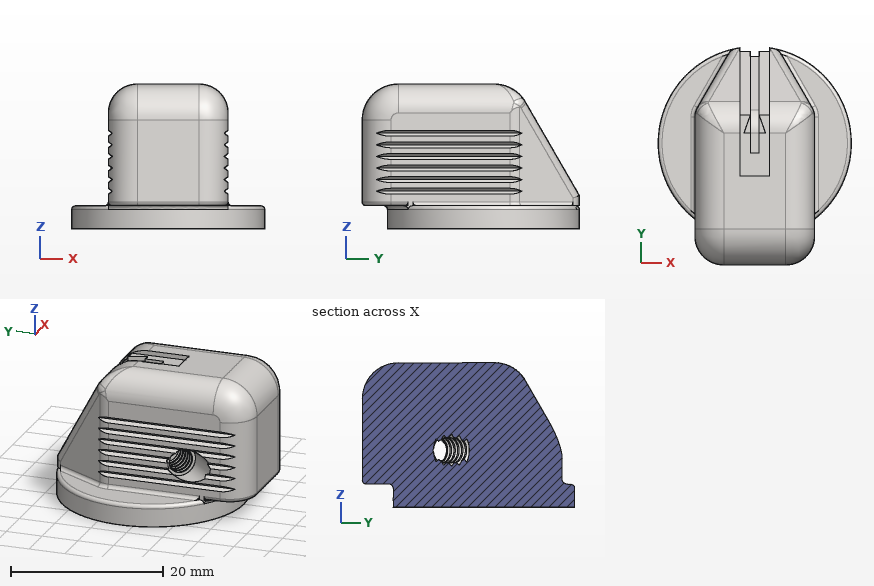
import cadquery as cq
import math

DISC_RADIUS = 12.7
DISC_HEIGHT = 3.048
BLEND_RADIUS = 0.508

TOTAL_HEIGHT = 19.05
TOTAL_LENGTH = 28.56
HALF_WIDTH = 7.874
SIDE_ROUND = 3.81
END_ROUND = 4.7625

NOSE_ANGLE = 60.0
NOSE_FOOT_HEIGHT = 4.13
TAPER_ANGLE = 30.0
TAPER_START_Y = 4.1
TAPER_BLEND = 2.54
NOSE_EDGE_ROUND = 1.5875

STEP_DEPTH = 0.635
RECESS_WIDTH = 3.9
RECESS_END_Y = -4.3
LINE_WIDTH = 1.143
LINE_END_Y = -1.27
ARROW_BASE_Y = 1.32
ARROW_HALF_WIDTH = 1.42
ARROW_LENGTH = 4.04

GROOVE_COUNT = 6
GROOVE_PITCH = 1.524
GROOVE_FIRST_Z = 4.953
GROOVE_DEPTH = 0.508
GROOVE_HALF_ANGLE = 37.5

SCREW_Z = 7.5
SCREW_ANGLE = 45.0
CLEARANCE_DIAMETER = 4.2
THREAD_MAJOR = 4.11
THREAD_MINOR = 3.33
THREAD_PITCH = 0.7056
THREAD_TURNS = 6
THREAD_FLANK_ANGLE = 30.0
THREAD_LEAD_IN = 0.24
THREAD_START = 8.63

RECESS_EDGE_Y = math.sqrt(DISC_RADIUS**2 - (RECESS_WIDTH / 2)**2)
REAR_Y = RECESS_EDGE_Y - TOTAL_LENGTH
SLOPE_RUN = (TOTAL_HEIGHT - NOSE_FOOT_HEIGHT) / math.tan(math.radians(NOSE_ANGLE))
NOSE_CORNER_Y = DISC_RADIUS - SLOPE_RUN
BODY_HEIGHT = TOTAL_HEIGHT - DISC_HEIGHT
GROOVE_MOUTH = GROOVE_DEPTH * math.tan(math.radians(GROOVE_HALF_ANGLE))
NOSE_TIP_Y = TAPER_START_Y + HALF_WIDTH / math.tan(math.radians(TAPER_ANGLE))
FLAT_TOLERANCE = 0.05
FLAT_REACH = DISC_RADIUS - BLEND_RADIUS


def cylinder(radius, bottom_z, top_z):
    """Upright cylinder on the disc axis."""
    return cq.Workplane("XY", origin=(0, 0, bottom_z)).circle(radius).extrude(top_z - bottom_z)


def knob_profile(depth, rear_y, half_width, corner_round):
    """Bar along X with the knob's side outline, set in by depth from its top, slope and front."""
    slope = math.tan(math.radians(NOSE_ANGLE))
    front_y = DISC_RADIUS - depth
    top_z = TOTAL_HEIGHT - depth
    corner_y = NOSE_CORNER_Y - depth * math.tan(math.radians(NOSE_ANGLE / 2))
    bar = (
        cq.Workplane("YZ")
        .moveTo(rear_y, 0)
        .lineTo(front_y, 0)
        .lineTo(front_y, top_z - (front_y - corner_y) * slope)
        .lineTo(corner_y, top_z)
        .lineTo(rear_y, top_z)
        .close()
        .extrude(half_width, both=True)
    )
    if corner_round > 0:
        corner = cq.selectors.NearestToPointSelector((0, corner_y, top_z))
        bar = bar.edges(corner).fillet(corner_round)
    return bar


def footprint(height):
    """Prism with the body's plan outline: straight sides and a tapering nose."""
    return (
        cq.Workplane("XY", origin=(0, 0, DISC_HEIGHT))
        .moveTo(-HALF_WIDTH, REAR_Y)
        .lineTo(HALF_WIDTH, REAR_Y)
        .lineTo(HALF_WIDTH, TAPER_START_Y)
        .lineTo(0, NOSE_TIP_Y)
        .lineTo(-HALF_WIDTH, TAPER_START_Y)
        .close()
        .extrude(height)
    )


def blended_footprint(height):
    """The footprint with its sides blended into the nose walls."""
    corners = cq.selectors.BoxSelector(
        (-2 * HALF_WIDTH, TAPER_START_Y - BLEND_RADIUS, 0),
        (2 * HALF_WIDTH, TAPER_START_Y + BLEND_RADIUS, TOTAL_HEIGHT),
    )
    return footprint(height).edges("|Z").edges(corners).fillet(TAPER_BLEND)


def is_nose_edge(edge):
    """True for the edges beside the slope and its round and for the upright nose edges."""
    box = edge.BoundingBox()
    is_level = box.zmax - box.zmin < FLAT_TOLERANCE
    is_slope_foot = box.ymax > DISC_RADIUS - FLAT_TOLERANCE
    return box.ymax > 0 and not is_level and not is_slope_foot


def make_body():
    """Rounded block, cut to the sloping and tapering nose.

    The nose edge round also runs down the upright corners where the taper starts. The larger
    taper blend then takes its place there.
    """
    block = (
        cq.Workplane("XY", origin=(0, REAR_Y, DISC_HEIGHT))
        .box(2 * HALF_WIDTH, NOSE_TIP_Y - REAR_Y, BODY_HEIGHT, centered=(True, False, False))
        .edges(">Z and <Y")
        .fillet(END_ROUND)
        .edges("(<Y and |Z) or (>Z and |Y)")
        .fillet(SIDE_ROUND)
    )
    profile = knob_profile(0, REAR_Y - SIDE_ROUND, DISC_RADIUS, END_ROUND)
    front = cylinder(DISC_RADIUS, 0, TOTAL_HEIGHT)
    rear = cq.Workplane("XY").box(2 * DISC_RADIUS, -2 * REAR_Y, 2 * TOTAL_HEIGHT)
    rear = rear.translate((0, REAR_Y, 0))
    body = block.intersect(footprint(BODY_HEIGHT)).intersect(profile).intersect(front.union(rear))
    nose_edges = [edge for edge in body.edges().vals() if is_nose_edge(edge)]
    body = cq.Workplane(body.val().fillet(NOSE_EDGE_ROUND, nose_edges))
    return body.intersect(blended_footprint(BODY_HEIGHT))


def round_overhang(body):
    """Round the bottom edges of the body where it overhangs the disc."""
    overhang = body.cut(cylinder(DISC_RADIUS, 0, TOTAL_HEIGHT))
    rim = cq.selectors.BoxSelector(
        (-2 * HALF_WIDTH, 2 * REAR_Y, 0),
        (2 * HALF_WIDTH, 0, DISC_HEIGHT + BLEND_RADIUS / 2),
    )
    rounded = body.faces("<Z").edges(rim).fillet(BLEND_RADIUS)
    return body.cut(overhang).union(rounded)


def foot_blend():
    """Concave blend from the flat top of the disc up to the body walls."""
    slab = cylinder(2 * DISC_RADIUS, 0, DISC_HEIGHT)
    blended = (
        slab.union(blended_footprint(BODY_HEIGHT))
        .edges(cq.selectors.BoxSelector(
            (-2 * HALF_WIDTH, REAR_Y - BLEND_RADIUS, DISC_HEIGHT - BLEND_RADIUS / 2),
            (2 * HALF_WIDTH, NOSE_TIP_Y + BLEND_RADIUS, DISC_HEIGHT + BLEND_RADIUS / 2),
        ))
        .fillet(BLEND_RADIUS)
    )
    return blended.intersect(cylinder(FLAT_REACH, DISC_HEIGHT - BLEND_RADIUS, DISC_HEIGHT + BLEND_RADIUS))


def overhang_blend():
    """Concave blend from the side of the disc out to the bottom of the overhang."""
    low_z = DISC_HEIGHT - BLEND_RADIUS
    outer_radius = DISC_RADIUS + BLEND_RADIUS
    middle = BLEND_RADIUS * (1 - math.sqrt(0.5))
    flare = (
        cq.Workplane("XZ")
        .moveTo(0, low_z)
        .lineTo(DISC_RADIUS, low_z)
        .threePointArc((DISC_RADIUS + middle, DISC_HEIGHT - middle), (outer_radius, DISC_HEIGHT))
        .lineTo(0, DISC_HEIGHT)
        .close()
        .revolve(360, (0, 0, 0), (0, 1, 0))
    )
    below_body = (
        cq.Workplane("XY", origin=(0, REAR_Y, 0))
        .box(2 * HALF_WIDTH, -REAR_Y, DISC_HEIGHT, centered=(True, False, False))
    )
    return flare.intersect(below_body)


def join_to_disc(body):
    """Add the disc with its rounded rim and the blends between disc and body."""
    disc = cylinder(DISC_RADIUS, 0, DISC_HEIGHT).faces(">Z").edges().fillet(BLEND_RADIUS)
    return disc.union(round_overhang(body)).union(foot_blend()).union(overhang_blend())


def cut_grooves(part):
    """V grooves along both sides."""
    for index in range(GROOVE_COUNT):
        z = GROOVE_FIRST_Z + index * GROOVE_PITCH
        for side in (-1, 1):
            groove = (
                cq.Workplane("XZ", origin=(0, DISC_RADIUS, z))
                .moveTo(side * (HALF_WIDTH - GROOVE_DEPTH), 0)
                .lineTo(side * (HALF_WIDTH + GROOVE_DEPTH), 2 * GROOVE_MOUTH)
                .lineTo(side * (HALF_WIDTH + GROOVE_DEPTH), -2 * GROOVE_MOUTH)
                .close()
                .extrude(DISC_RADIUS - REAR_Y)
            )
            part = part.cut(groove)
    return part


def everything_outside(inner, half_width, rear_y):
    """The part of a slot of the given width that lies above and in front of the inner bar."""
    slot = (
        cq.Workplane("XY", origin=(0, rear_y, 0))
        .box(2 * half_width, 2 * DISC_RADIUS, 2 * TOTAL_HEIGHT, centered=(True, False, False))
    )
    return slot.cut(inner)


def cut_pointer(part):
    """Stepped recess over the nose: a wide channel, a narrow line in it and an arrowhead."""
    channel_floor = knob_profile(STEP_DEPTH, REAR_Y, HALF_WIDTH, 0)
    part = part.cut(everything_outside(channel_floor, RECESS_WIDTH / 2, RECESS_END_Y))
    line_depth = 2 * STEP_DEPTH
    line_floor = knob_profile(line_depth, REAR_Y, HALF_WIDTH, END_ROUND - line_depth)
    part = part.cut(everything_outside(line_floor, LINE_WIDTH / 2, LINE_END_Y))
    arrow = (
        cq.Workplane("XY", origin=(0, 0, TOTAL_HEIGHT - line_depth))
        .moveTo(-ARROW_HALF_WIDTH, ARROW_BASE_Y)
        .lineTo(ARROW_HALF_WIDTH, ARROW_BASE_Y)
        .lineTo(0, ARROW_BASE_Y + ARROW_LENGTH)
        .close()
        .extrude(line_depth)
    )
    return part.cut(arrow)


def screw_tool():
    """Clearance bore and ringed thread along -X, turned to the screw direction."""
    minor = THREAD_MINOR / 2
    major = THREAD_MAJOR / 2
    flank = (major - minor) * math.tan(math.radians(THREAD_FLANK_ANGLE))
    end = THREAD_START - THREAD_TURNS * THREAD_PITCH
    outline = cq.Workplane("XY").moveTo(-2 * DISC_RADIUS, 0)
    outline = outline.lineTo(-2 * DISC_RADIUS, CLEARANCE_DIAMETER / 2)
    outline = outline.lineTo(-THREAD_START, CLEARANCE_DIAMETER / 2)
    outline = outline.lineTo(-THREAD_START, minor)
    for turn in range(THREAD_TURNS):
        root = -THREAD_START + THREAD_LEAD_IN + turn * THREAD_PITCH + flank
        outline = outline.lineTo(root - flank, minor)
        outline = outline.lineTo(root, major)
        outline = outline.lineTo(root + flank, minor)
    outline = outline.lineTo(-end, minor).lineTo(-end, 0).close()
    tool = outline.revolve(360, (0, 0, 0), (1, 0, 0))
    return tool.rotate((0, 0, 0), (0, 0, 1), SCREW_ANGLE).translate((0, 0, SCREW_Z))


def make_knob():
    """Join disc and body, then cut the grooves, the pointer and the set screw hole."""
    part = join_to_disc(make_body())
    part = cut_grooves(part)
    part = cut_pointer(part)
    return part.cut(screw_tool())


result = make_knob()